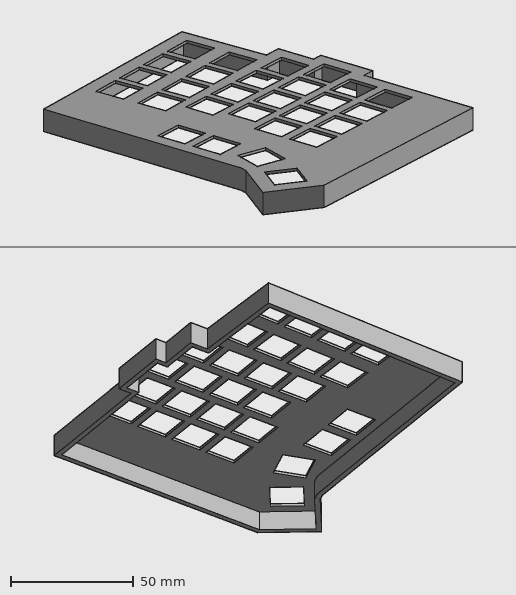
import cadquery as cq
import math

length = 142.5
width = 128.0
height = 10.0

top_thickness = 1.3
wall_thickness = 2.3

key_size = 13.8
rim = 6.4
cell_half = key_size / 2 + rim
row_count = 4
row_pitch = 17.0

column_pitch = 18.0
tallest_column_x = 2.1
second_column_x = tallest_column_x - column_pitch
right_columns_x = [tallest_column_x + column_pitch, tallest_column_x + 2 * column_pitch]
second_column_drop = 5.0
right_columns_drop = 6.0

tilt = 2.0
tilted_pitch = 21.1
tilted_key = (-57.0, 36.6)

thumb_row_y = -35.9
thumb_angle = -36.0
bend_angle = thumb_angle / 2
bend_key = (33.2, -34.9)
thumb_keys = [
    (-7.0, thumb_row_y, 0.0),
    (11.1, thumb_row_y, 0.0),
    (*bend_key, bend_angle),
    (53.3, -45.0, thumb_angle),
]

left = -length / 2
right = length / 2
top = width / 2
second_top = top - second_column_drop
right_top = top - right_columns_drop
left_top = 49.3
front_edge = -49.0
thumb_tip = (55.9, -width / 2)

tilt_slope = math.tan(math.radians(tilt))
bend_slope = math.tan(math.radians(bend_angle))
thumb_slope = math.tan(math.radians(thumb_angle))


def bend_points():
    """Both ends of the short flat that runs parallel to the half-turned thumb key, one rim below it."""
    tip_x, tip_y = thumb_tip
    key_x, key_y = bend_key
    flat_height_at_key = key_y - cell_half / math.cos(math.radians(bend_angle))
    start_x = key_x + (front_edge - flat_height_at_key) / bend_slope
    tip_drop = flat_height_at_key + bend_slope * (tip_x - key_x) - tip_y
    end_x = tip_x + tip_drop / (thumb_slope - bend_slope)
    end_y = tip_y + (end_x - tip_x) * thumb_slope
    return (start_x, front_edge), (end_x, end_y)


def outline():
    """Corners of the closed plan outline, clockwise from the left end of the top edge."""
    tip_x, tip_y = thumb_tip
    second_left = second_column_x - cell_half
    tallest_left = tallest_column_x - cell_half
    tallest_right = tallest_column_x + cell_half
    right_corner_y = tip_y - (right - tip_x) / thumb_slope
    bend_start, bend_end = bend_points()
    return [
        (left, left_top),
        (second_left, left_top + (second_left - left) * tilt_slope),
        (second_left, second_top),
        (tallest_left, second_top),
        (tallest_left, top),
        (tallest_right, top),
        (tallest_right, right_top),
        (right, right_top),
        (right, right_corner_y),
        thumb_tip,
        bend_end,
        bend_start,
        (left + (left_top - front_edge) * tilt_slope, front_edge),
    ]


def key_column(x, y, angle=0.0):
    """Key places of one column, running from its top key at (x, y) toward -Y."""
    step_x = row_pitch * math.sin(math.radians(angle))
    step_y = -row_pitch * math.cos(math.radians(angle))
    return [(x + row * step_x, y + row * step_y, angle) for row in range(row_count)]


def all_keys():
    """X, Y and rotation of every key opening."""
    x, y = tilted_key
    inner_x = x + tilted_pitch * math.cos(math.radians(tilt))
    inner_y = y + tilted_pitch * math.sin(math.radians(tilt))
    keys = key_column(x, y, tilt) + key_column(inner_x, inner_y, tilt)
    keys += key_column(second_column_x, second_top - cell_half)
    keys += key_column(tallest_column_x, top - cell_half)
    for column_x in right_columns_x:
        keys += key_column(column_x, right_top - cell_half)
    return keys + thumb_keys


def key_cutter(x, y, angle):
    """Square bar that cuts one key opening."""
    bar = cq.Workplane("XY").rect(key_size, key_size).extrude(height)
    return bar.rotate((0, 0, 0), (0, 0, 1), angle).translate((x, y, 0))


def plan():
    """Plan outline as a closed wire, ready to offset or extrude."""
    return cq.Workplane("XY").polyline(outline()).close()


def hollow_body():
    """Block hollowed from below, leaving the side walls and the top plate."""
    cavity = plan().offset2D(-wall_thickness, "intersection").extrude(height - top_thickness)
    return plan().extrude(height).cut(cavity)


result = hollow_body()
for key in all_keys():
    result = result.cut(key_cutter(*key))